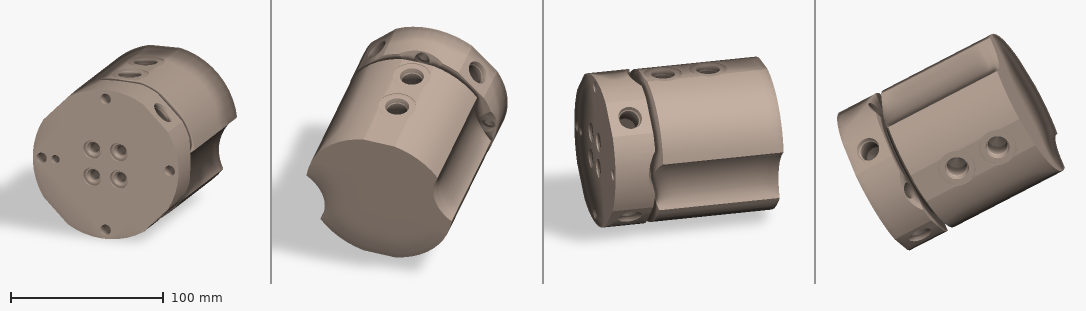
import cadquery as cq
import math

length = 114.4
outer_radius = 50.8
flat_distance = 49.3

flange_length = 27.6
flange_flat_angles = (45, 135, 225, 315)

neck_radius = 38.9
neck_length = 0.6
body_start = flange_length + neck_length
cone_length = 4.5

body_radius = 50.5
body_flat_angles = (90, 270)
scallop_radius = 27.5
scallop_offset = 67.2
scallop_angles = (165, 345)

screw_circle_radius = 44.6
screw_angles = (0, 90, 180, 270)
screw_hole_diameter = 7.2
screw_head_diameter = 10.8
screw_head_depth = 6.9
trough_radius = 34.3
trough_slope = 20.0
trough_start = 37.8

pin_circle_radius = 35.0
pin_diameter = 5.8
pin_depth = 9.2

face_port_offset = 9.3
seal_diameter = 12.7
seal_depth = 2.3
face_port_mouth_diameter = 9.2
face_port_throat_diameter = 8.0
face_port_bore_diameter = 6.6
face_port_taper = 1.4
face_port_depth = 13.7

port_mouth_diameter = 15.7
port_throat_diameter = 14.2
port_bore_diameter = 13.0
port_taper = 2.9
port_depth = 16.0
drill_point_angle = 118.0
flange_port_y = 14.3
spotface_diameter = 24.7
spotface_depth = 0.4
body_port_pitch = 30.5
first_body_port_y = 46.2
body_port_ys = (first_body_port_y, first_body_port_y + body_port_pitch)
body_port_shifts = (0, body_port_pitch / 2)


def cylinder_y(radius, start, end):
    """Cylinder along Y, centred on the part axis, between two Y positions."""
    return cq.Workplane("XZ", origin=(0, start, 0)).circle(radius).extrude(start - end)


def turned_cutter(profile):
    """Revolve (radius, depth) points about Z, with depth measured downward from Z = 0."""
    points = [(radius, -depth) for radius, depth in profile]
    return cq.Workplane("XZ").polyline(points).close().revolve(360, (0, 0, 0), (0, 1, 0))


def facing_front(cutter):
    """Turn a cutter that sinks along -Z so that it sinks into the front face, along +Y."""
    return cutter.rotate((0, 0, 0), (1, 0, 0), 90)


def around_axis(shape, angle):
    """Turn a shape about Y so that its +Z side points at an angle counted from +X toward +Z."""
    return shape.rotate((0, 0, 0), (0, 1, 0), 90 - angle)


def cut_flats(shape, distance, angles):
    """Cut planes parallel to the Y axis at a given distance from it."""
    flat_block = cq.Workplane("XY").box(
        2 * outer_radius, length, outer_radius, centered=(True, False, False)
    ).translate((0, 0, distance))
    for angle in angles:
        shape = shape.cut(around_axis(flat_block, angle))
    return shape


def port_profile(mouth_diameter, throat_diameter, bore_diameter, taper, depth, point_depth):
    """Half section of a port: tapered mouth, short 45 degree step, plain bore and its bottom."""
    step = (throat_diameter - bore_diameter) / 2
    return [
        (0, 0),
        (mouth_diameter / 2, 0),
        (throat_diameter / 2, taper),
        (bore_diameter / 2, taper + step),
        (bore_diameter / 2, depth),
        (0, depth + point_depth),
    ]


port_point_depth = port_bore_diameter / 2 / math.tan(math.radians(drill_point_angle / 2))
threaded_port = turned_cutter(
    port_profile(
        port_mouth_diameter, port_throat_diameter, port_bore_diameter, port_taper, port_depth, port_point_depth
    )
)

seal_recess = cylinder_y(seal_diameter / 2, 0, seal_depth)
face_bore = facing_front(
    turned_cutter(
        port_profile(
            face_port_mouth_diameter,
            face_port_throat_diameter,
            face_port_bore_diameter,
            face_port_taper,
            face_port_depth,
            0,
        )
    )
)
face_port = face_bore.translate((0, seal_depth, 0)).union(seal_recess)


def make_flange():
    flange = cylinder_y(outer_radius, 0, flange_length)
    flange = cut_flats(flange, flat_distance, flange_flat_angles)
    side_port = threaded_port.translate((0, flange_port_y, flat_distance))
    for angle in flange_flat_angles:
        flange = flange.cut(around_axis(side_port, angle))
    for x_sign in (-1, 1):
        for z_sign in (-1, 1):
            place = (x_sign * face_port_offset, 0, z_sign * face_port_offset)
            flange = flange.cut(face_port.translate(place))
    flange = flange.cut(cylinder_y(pin_diameter / 2, 0, pin_depth).translate((-pin_circle_radius, 0, 0)))
    for angle in screw_angles:
        flange = flange.cut(around_axis(make_screw_cutter(), angle))
    return flange


def make_screw_cutter():
    """Screw clearance, head counterbore and sloping access trough, on the +Z side."""
    hole = cylinder_y(screw_hole_diameter / 2, 0, flange_length)
    head = cylinder_y(screw_head_diameter / 2, flange_length - screw_head_depth, flange_length)
    trough = (
        cq.Workplane("XY")
        .center(0, trough_radius)
        .circle(trough_radius)
        .extrude(outer_radius)
        .rotate((0, 0, 0), (1, 0, 0), trough_slope)
        .translate((0, flange_length, trough_start))
    )
    return hole.union(head).translate((0, 0, screw_circle_radius)).union(trough)


def make_body():
    cone_end = body_start + cone_length
    half_section = [
        (0, body_start),
        (neck_radius, body_start),
        (body_radius, cone_end),
        (body_radius, length),
        (0, length),
    ]
    body = cq.Workplane("XY").polyline(half_section).close().revolve(360, (0, 0, 0), (0, 1, 0))
    body = cut_flats(body, flat_distance, body_flat_angles)
    scallop = cylinder_y(scallop_radius, 0, length).translate((0, 0, scallop_offset))
    for angle in scallop_angles:
        body = body.cut(around_axis(scallop, angle))
    spotface = cq.Workplane("XY").circle(spotface_diameter / 2).extrude(outer_radius)
    body_port = threaded_port.union(spotface).translate((0, 0, flat_distance - spotface_depth))
    for flat_angle, port_shift in zip(body_flat_angles, body_port_shifts):
        for port_y in body_port_ys:
            port = body_port.translate((0, port_y + port_shift, 0))
            body = body.cut(around_axis(port, flat_angle))
    return body


neck = cylinder_y(neck_radius, flange_length, body_start)
result = make_flange().union(neck).union(make_body())